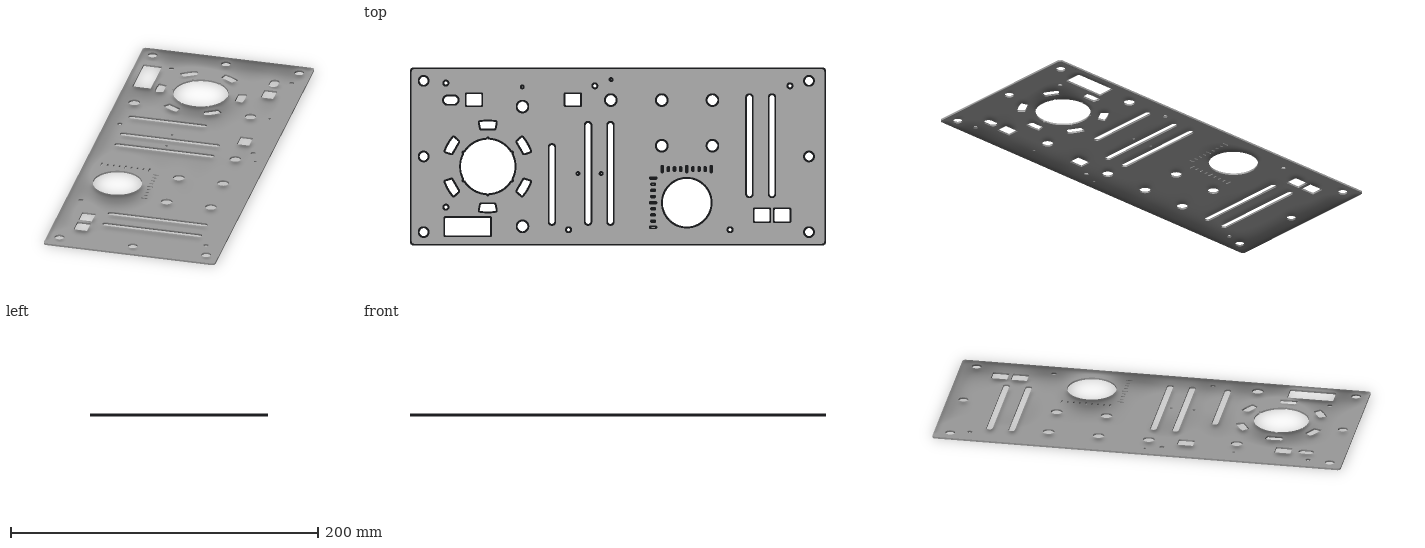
import cadquery as cq
import math

LENGTH = 270.0
HEIGHT = 115.0
THICKNESS = 1.2
CORNER_RADIUS = 2.0

MOUNTING_DIAMETER = 6.3
MOUNTING_INSET = 8.25
MOUNTING_COLUMNS = (8.4, 259.4)
SHAFT_DIAMETER = 7.5
SCREW_DIAMETER = 3.2
PIN_DIAMETER = 1.8

JACK_ROW_Y = 94.2
KNOB_ROW_Y = 64.5
KNOB_COLUMNS = (163.5, 196.5)
DIAL_X = 50.2
DIAL_Y = 51.0
SHAFT_COLUMN_X = 72.8
SHAFT_SPACING = 78.0
SHAFT_POINTS = [
    (130.3, JACK_ROW_Y),
    *[(x, y) for x in KNOB_COLUMNS for y in (JACK_ROW_Y, KNOB_ROW_Y)],
    *[(SHAFT_COLUMN_X, DIAL_Y + side * SHAFT_SPACING / 2) for side in (-1, 1)],
]
SCREW_POINTS = [
    (22.9, 105.3),
    (22.9, 24.5),
    (119.9, 103.5),
    (247.0, 103.5),
    (102.8, 9.8),
    (208.0, 9.8),
]
PIN_POINTS = [(130.5, 107.6), (72.6, 102.8), (108.9, 46.4), (124.0, 46.4)]

FADER_WIDTH = 4.2
LONG_FADER = 67.0
SHORT_FADER = 52.5
FADER_BOTTOM_Y = 13.0
RIGHT_FADER_Y = 64.5
LONG_FADERS = [
    (115.5, FADER_BOTTOM_Y + LONG_FADER / 2),
    (130.1, FADER_BOTTOM_Y + LONG_FADER / 2),
    (220.6, RIGHT_FADER_Y),
    (235.3, RIGHT_FADER_Y),
]
SHORT_FADERS = [(92.0, FADER_BOTTOM_Y + SHORT_FADER / 2)]

CUTOUT_CORNER_RADIUS = 0.5
SWITCH_SIZE = (10.6, 8.3)
SWITCH_ROW_Y = 94.5
SWITCH_POINTS = [(41.2, SWITCH_ROW_Y), (105.6, SWITCH_ROW_Y)]
BUTTON_SIZE = (10.6, 9.0)
BUTTON_POINTS = [(228.8, 19.2), (241.9, 19.2)]
DISPLAY_SIZE = (30.3, 12.3)
DISPLAY_POINTS = [(37.1, 11.8)]

CONNECTOR_LENGTH = 10.0
CONNECTOR_WIDTH = 6.0
CONNECTOR_POINT = (26.1, JACK_ROW_Y)

DIAL_DIAMETER = 36.0
WINDOW_COUNT = 6
FIRST_WINDOW_ANGLE = 90.0
WINDOW_ANGLE = 23.0
WINDOW_INNER_RADIUS = 24.6
WINDOW_OUTER_RADIUS = 29.9
WINDOW_CORNER_RADIUS = 0.8
NOTCH_RADIUS = 18.2
NOTCH_DIAMETER = 1.2

JOYSTICK_X = 179.8
JOYSTICK_Y = 27.4
JOYSTICK_DIAMETER = 32.2
TICK_PITCH = 4.0
TICK_STEPS = 4
TICK_WIDTH = 1.0
MINOR_TICK = 2.6
MAJOR_TICK = 4.2
TICK_OFFSET = 21.9


def make_panel():
    """The blank sheet with rounded corners."""
    blank = cq.Workplane("XY").box(LENGTH, HEIGHT, THICKNESS, centered=False)
    return blank.edges("|Z").fillet(CORNER_RADIUS)


def round_holes(points, diameter):
    return cq.Workplane("XY").pushPoints(points).circle(diameter / 2).extrude(THICKNESS)


def rectangles(points, size):
    blocks = cq.Workplane("XY").pushPoints(points).rect(*size).extrude(THICKNESS)
    return blocks.edges("|Z").fillet(CUTOUT_CORNER_RADIUS)


def slots(points, length, width, angle):
    return cq.Workplane("XY").pushPoints(points).slot2D(length, width, angle).extrude(THICKNESS)


def mounting_holes():
    """Three holes down each short side of the panel."""
    rows = (MOUNTING_INSET, HEIGHT / 2, HEIGHT - MOUNTING_INSET)
    return round_holes([(x, y) for x in MOUNTING_COLUMNS for y in rows], MOUNTING_DIAMETER)


def dial_point(radius, angle):
    """The point at a radius and an angle in degrees about the dial centre."""
    turn = math.radians(angle)
    return (DIAL_X + radius * math.cos(turn), DIAL_Y + radius * math.sin(turn))


def dial_window(middle):
    """A window with an arched outer edge and a straight inner one, centred on an angle in degrees."""
    start = middle - WINDOW_ANGLE / 2
    end = middle + WINDOW_ANGLE / 2
    return (
        cq.Workplane("XY")
        .moveTo(*dial_point(WINDOW_INNER_RADIUS, start))
        .lineTo(*dial_point(WINDOW_OUTER_RADIUS, start))
        .threePointArc(dial_point(WINDOW_OUTER_RADIUS, middle), dial_point(WINDOW_OUTER_RADIUS, end))
        .lineTo(*dial_point(WINDOW_INNER_RADIUS, end))
        .close()
        .extrude(THICKNESS)
        .edges("|Z")
        .fillet(WINDOW_CORNER_RADIUS)
    )


def cut_dial(panel):
    """The dial opening, its windows and a small notch in its rim facing each window."""
    panel = panel.cut(round_holes([(DIAL_X, DIAL_Y)], DIAL_DIAMETER))
    angles = [FIRST_WINDOW_ANGLE + step * 360 / WINDOW_COUNT for step in range(WINDOW_COUNT)]
    for angle in angles:
        panel = panel.cut(dial_window(angle))
    notches = [dial_point(NOTCH_RADIUS, angle) for angle in angles]
    return panel.cut(round_holes(notches, NOTCH_DIAMETER))


def cut_joystick(panel):
    """The joystick opening and its two scales, with major ticks at the ends and the middle."""
    panel = panel.cut(round_holes([(JOYSTICK_X, JOYSTICK_Y)], JOYSTICK_DIAMETER))
    for step in range(-TICK_STEPS, TICK_STEPS + 1):
        length = MAJOR_TICK if step % TICK_STEPS == 0 else MINOR_TICK
        along = step * TICK_PITCH
        above = (JOYSTICK_X + along, JOYSTICK_Y + TICK_OFFSET)
        beside = (JOYSTICK_X - TICK_OFFSET, JOYSTICK_Y + along)
        panel = panel.cut(slots([above], length, TICK_WIDTH, 90))
        panel = panel.cut(slots([beside], length, TICK_WIDTH, 0))
    return panel


openings = [
    mounting_holes(),
    round_holes(SHAFT_POINTS, SHAFT_DIAMETER),
    round_holes(SCREW_POINTS, SCREW_DIAMETER),
    round_holes(PIN_POINTS, PIN_DIAMETER),
    slots(LONG_FADERS, LONG_FADER, FADER_WIDTH, 90),
    slots(SHORT_FADERS, SHORT_FADER, FADER_WIDTH, 90),
    slots([CONNECTOR_POINT], CONNECTOR_LENGTH, CONNECTOR_WIDTH, 0),
    rectangles(SWITCH_POINTS, SWITCH_SIZE),
    rectangles(BUTTON_POINTS, BUTTON_SIZE),
    rectangles(DISPLAY_POINTS, DISPLAY_SIZE),
]

result = make_panel()
for opening in openings:
    result = result.cut(opening)
result = cut_dial(result)
result = cut_joystick(result)